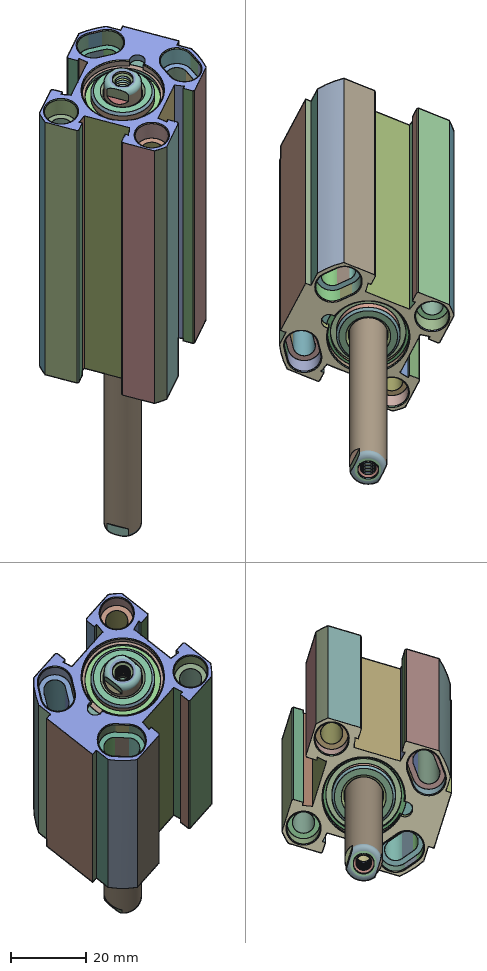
import cadquery as cq
import math


half_width = 18.0
boss_y = 22.0
boss_half_width = 8.0
shoulder_y = 20.5
housing_length = 98.0
corner_radius = 23.7

slot_mouth_half = 6.0
slot_mouth_chamfer = 0.3
slot_inner_half = 7.0
slot_floor_half = 6.4
slot_floor = 12.3
slot_lip = 14.9

mount_offset = 12.8
mount_diameter = 5.9
mount_counterbore = 8.8
mount_counterbore_depth = 5.9
mount_slot_dx = 3.0
mount_slot_dy = 2.2
rim_chamfer = 0.26
rim_chamfer_angle = 45

bore_diameter = 20.0
mouth_diameter = 21.6
groove_diameter = 22.8
ring_inner_diameter = bore_diameter
ring_top = 2.0
ring_thickness = 1.0
collar_length = 13.8
hub_diameter = 17.0
hub_chamfer = 0.7
hub_recess = 0.3
collar_bore_diameter = 10.5
collar_entry_chamfer = 0.7
notch_diameter = 4.2
notch_y = 11.5

rod_diameter = 10.0
rod_above = 4.3
rod_length = 173.0
rod_rounding = 1.5
rod_flat_half = 4.0
rod_flat_length = 3.6
thread_diameter = 5.5
thread_lead_in = 0.7
drill_diameter = 4.2
thread_pitch = 0.8
thread_turns = 11
drill_depth = 10.4
drill_tip_angle = 118

flat_run_out = rod_diameter / 2 - rod_flat_half
collar_flange = ring_top + ring_thickness
drill_tip = drill_diameter / 2 / math.tan(math.radians(drill_tip_angle / 2))


def mirror_end(body):
    """Copy of a body from the top end, placed at the bottom end."""
    return body.mirror("XY", (0, 0, -housing_length / 2))


def disc(diameter, top, height):
    """Cylinder on the axis, reaching down from the level `top`."""
    return cq.Workplane("XY").workplane(offset=top - height).circle(diameter / 2).extrude(height)


def switch_slot(angle):
    """Cutter for a full-length slot in the -X side, turned about the axis by `angle`."""
    points = [
        (-half_width, slot_mouth_half + slot_mouth_chamfer),
        (-half_width + slot_mouth_chamfer, slot_mouth_half),
        (-slot_lip, slot_mouth_half),
        (-slot_lip, slot_inner_half),
        (-slot_floor, slot_floor_half),
    ]
    points += [(x, -y) for x, y in reversed(points)]
    slot = cq.Workplane("XY").polyline(points).close().extrude(-housing_length)
    return slot.rotate((0, 0, 0), (0, 0, 1), angle)


def oblong(side, diameter, depth):
    """Cutter for the oblong mounting hole on the +X (side 1) or -X (side -1) side."""
    length = math.hypot(mount_slot_dx, mount_slot_dy)
    angle = math.degrees(math.atan2(mount_slot_dy, -side * mount_slot_dx))
    x = side * (mount_offset - mount_slot_dx / 2)
    y = mount_offset + mount_slot_dy / 2
    return (
        cq.Workplane("XY").center(x, y)
        .slot2D(length + diameter, diameter, angle).extrude(-depth)
    )


def flare(cutter):
    """Adds the chamfer that a cutter leaves round the rim of its recess."""
    rim = cutter.faces(">Z").wires().toPending().offset2D(rim_chamfer)
    wide = rim.extrude(-rim_chamfer, taper=rim_chamfer_angle)
    return cutter.union(wide)


def housing_blank():
    """Block with corners rounded about the axis, and a pad raised on the +Y side."""
    block = (
        cq.Workplane("XY").center(0, (shoulder_y - half_width) / 2)
        .rect(2 * half_width, shoulder_y + half_width).extrude(-housing_length)
        .intersect(disc(2 * corner_radius, 0, housing_length))
    )
    pad = (
        cq.Workplane("XY").center(0, boss_y / 2)
        .rect(2 * boss_half_width, boss_y).extrude(-housing_length)
    )
    return block.union(pad)


def cut_mounting_holes(body):
    """Through holes at the four corners, counterbored at both ends."""
    for side in (-1, 1):
        corner = cq.Workplane("XY").center(side * mount_offset, -mount_offset)
        body = body.cut(corner.circle(mount_diameter / 2).extrude(-housing_length))
        body = body.cut(oblong(side, mount_diameter, housing_length))
        round_counterbore = corner.circle(mount_counterbore / 2).extrude(-mount_counterbore_depth)
        oblong_counterbore = oblong(side, mount_counterbore, mount_counterbore_depth)
        for counterbore in (flare(round_counterbore), flare(oblong_counterbore)):
            body = body.cut(counterbore).cut(mirror_end(counterbore))
    return body


def cut_bore(body):
    """Through bore, with a collar seat, ring groove and removal notch at each end."""
    recess = flare(disc(mouth_diameter, 0, collar_length))
    recess = recess.union(disc(groove_diameter, -ring_top, ring_thickness))
    recess = recess.union(disc(notch_diameter, 0, ring_top).translate((0, notch_y, 0)))
    return body.cut(disc(bore_diameter, 0, housing_length)).cut(recess).cut(mirror_end(recess))


def make_housing():
    body = housing_blank()
    for angle in (0, 90, 180):
        body = body.cut(switch_slot(angle))
    return cut_bore(cut_mounting_holes(body))


def make_ring():
    """Retaining ring at the top end, filling the groove."""
    return disc(groove_diameter, -ring_top, ring_thickness).cut(
        disc(ring_inner_diameter, -ring_top, ring_thickness)
    )


def make_collar():
    """Rod collar at the top end: a flange below the ring and a hub inside it."""
    flange = disc(mouth_diameter, -collar_flange, collar_length - collar_flange)
    hub = disc(hub_diameter, -hub_recess, collar_flange - hub_recess).faces(">Z").chamfer(hub_chamfer)
    collar = flange.union(hub).cut(disc(collar_bore_diameter, 0, collar_length))
    bore_rim = collar.faces(">Z").edges(cq.selectors.RadiusNthSelector(0))
    return bore_rim.chamfer(collar_entry_chamfer)


def threaded_hole(top):
    """Cutter for the threaded hole in the upper end of the rod, with ring grooves for the thread."""
    thread = []
    for turn in range(thread_turns):
        groove = top - thread_lead_in - turn * thread_pitch
        thread.append((thread_diameter / 2, groove))
        thread.append((drill_diameter / 2, groove - thread_pitch / 2))
    return (
        cq.Workplane("XZ")
        .moveTo(0, top)
        .lineTo(thread_diameter / 2, top)
        .polyline(thread, includeCurrent=True)
        .lineTo(drill_diameter / 2, top - drill_depth)
        .lineTo(0, top - drill_depth - drill_tip)
        .close().revolve(360, (0, 0, 0), (0, 1, 0))
    )


def wrench_flat(side, top):
    """Cutter for the flat on the +Y (side 1) or -Y (side -1) side of the rod's upper end."""
    flat_y = side * rod_flat_half
    outer_y = side * rod_diameter / 2
    flat_end = top - rod_flat_length
    return (
        cq.Workplane("YZ")
        .moveTo(flat_y, top)
        .lineTo(flat_y, flat_end)
        .lineTo(outer_y, flat_end - flat_run_out)
        .lineTo(outer_y, top)
        .close().extrude(rod_diameter / 2, both=True)
    )


def make_rod():
    """Rod through both ends of the housing, with rounded ends."""
    rod = disc(rod_diameter, rod_above, rod_length).faces("<Z or >Z").fillet(rod_rounding)
    rod_middle = (0, 0, rod_above - rod_length / 2)
    for cutter in (threaded_hole(rod_above), wrench_flat(-1, rod_above), wrench_flat(1, rod_above)):
        rod = rod.cut(cutter).cut(cutter.mirror("XY", rod_middle))
    return rod


housing = make_housing()
rod = make_rod()
ring = make_ring()
collar = make_collar()
rings = [ring, mirror_end(ring)]
collars = [collar, mirror_end(collar)]
result = cq.Compound.makeCompound(
    [housing.val(), rod.val()] + [body.val() for body in rings + collars]
)